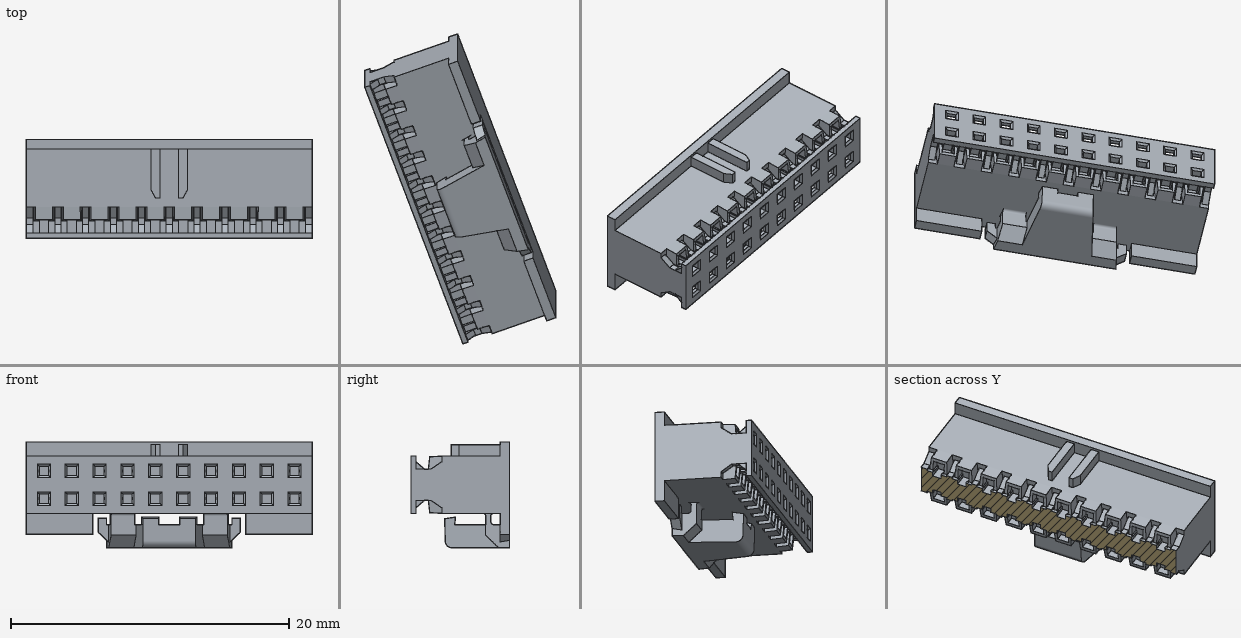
import cadquery as cq


length = 20.55
depth = 7.1
height = 7.6
body_height = 4.13
half_height = body_height / 2
half_length = length / 2

flange_thickness = 0.7
flange_front = depth - flange_thickness
flange_top = half_height + 1.0
tab_bottom = -half_height - 1.5
tab_inner_x = 5.48

plate_thickness = 0.4
relief_rear = 2.24
relief_floor = 1.13
relief_step = 1.66
relief_slope_front = 1.45
ramp_rear = 0.99
ramp_top = 1.65
end_ramp_inset = 0.02

contact_count = 10
row_span = 18.0
pitch = row_span / (contact_count - 1)
row_z = pitch / 2
contact_xs = [(i - (contact_count - 1) / 2) * pitch for i in range(contact_count)]

hole_mouth = 0.95
hole_size = 0.65
hole_lead_in = 0.15
recess_width = 0.88
recess_top = 1.75
recess_rear = 1.89

divider_width = 0.43
pocket_width = pitch - divider_width
pocket_floor_front = 1.05
pocket_floor_rear = 0.92
lug_top_rear = half_height
lug_top_front = 2.01
lug_front_top_y = 1.35
lug_front_base_y = 1.23
lug_top_width = 1.21
lug_base_width = 1.44
lug_base_z = 0.9

rib_top = half_height + 0.82
rib_inner_x = 0.68
rib_outer_x = 1.3
rib_front = 2.9
rib_chamfer_width = 0.3
rib_chamfer_length = 0.58

latch_bottom = flange_top - height
latch_top = latch_bottom + 1.66
arm_outer_x_rear = 4.5
arm_outer_x_front = 4.17
arm_inner_x = 2.46
arm_front = 5.38
arm_flare = (arm_outer_x_rear - arm_outer_x_front) / (depth - arm_front)
arm_slope_top = latch_bottom + 0.9
arm_slope_rear = 6.3
tongue_front = 2.42
tongue_front_x = 1.87
tongue_root_x = 2.38
tongue_flare = (tongue_root_x - tongue_front_x) / (arm_front - tongue_front)
tongue_rear_x = tongue_root_x + tongue_flare * (arm_slope_rear - arm_front)
tongue_draft = 0.06
tongue_edge_radius = 0.5
lip_inner_x = 0.74
lip_rear = 3.22
lip_undercut = 0.06
lip_top_rear = latch_bottom + 2.22
lip_top_front = latch_bottom + 2.1
post_rear = 5.75
post_top_fillet = 0.18
post_base_fillet = 0.25
ear_outer_x = 5.11
ear_inner_x = 4.5
ear_top = latch_bottom + 2.14
ear_side_bottom = latch_bottom + 1.13
ear_root_x = 4.31
ear_root_bottom = latch_bottom + 0.37


def prism_x(points, x_start, x_end):
    """Extrude a (Y, Z) outline from x_start to x_end."""
    return cq.Workplane("YZ", origin=(x_start, 0, 0)).polyline(points).close().extrude(x_end - x_start)


def prism_y(points, y_start, y_end):
    """Extrude an (X, Z) outline from y_start to y_end."""
    return cq.Workplane("XZ", origin=(0, y_start, 0)).polyline(points).close().extrude(y_start - y_end)


def prism_z(points, z_start, z_end):
    """Extrude an (X, Y) outline from z_start to z_end."""
    return cq.Workplane("XY", origin=(0, 0, z_start)).polyline(points).close().extrude(z_end - z_start)


def box(x_start, x_end, y_start, y_end, z_start, z_end):
    """Block between the given limits."""
    corners = [(x_start, y_start), (x_end, y_start), (x_end, y_end), (x_start, y_end)]
    return prism_z(corners, z_start, z_end)


def mirrored(shape, plane):
    """Return the shape joined with its mirror image."""
    return shape.union(shape.mirror(plane))


def make_body():
    """Full-length block with the mating plate and the relief behind it, above and below."""
    upper = [
        (0, half_height),
        (plate_thickness, half_height),
        (plate_thickness, ramp_top),
        (ramp_rear, relief_floor),
        (relief_slope_front, relief_floor),
        (relief_rear, relief_step),
        (relief_rear, half_height),
        (depth, half_height),
    ]
    lower = [(y, -z) for y, z in reversed(upper)]
    body = prism_x(upper + lower, -half_length, half_length)
    trim_start = half_length - end_ramp_inset
    end_trim = box(trim_start, half_length, plate_thickness, ramp_rear, relief_floor, half_height)
    return body.cut(mirrored(mirrored(end_trim, "YZ"), "XY"))


def make_flange():
    """Rear flange across the top and body, with a tab hanging at each end."""
    flange = box(-half_length, half_length, flange_front, depth, -half_height, flange_top)
    tab = box(tab_inner_x, half_length, flange_front, depth, tab_bottom, -half_height)
    return flange.union(mirrored(tab, "YZ"))


def make_pocket():
    """Clearance around one upper contact at X = 0."""
    profile = [
        (plate_thickness, half_height),
        (plate_thickness, pocket_floor_front),
        (relief_rear, pocket_floor_rear),
        (relief_rear, half_height),
    ]
    return prism_x(profile, -pocket_width / 2, pocket_width / 2)


def make_lug():
    """Tapered block standing in one upper pocket at X = 0."""
    side = [
        (relief_rear, lug_base_z),
        (lug_front_base_y, lug_base_z),
        (lug_front_top_y, lug_top_front),
        (relief_rear, lug_top_rear),
    ]
    front = [
        (-lug_base_width / 2, lug_base_z),
        (lug_base_width / 2, lug_base_z),
        (lug_top_width / 2, half_height),
        (-lug_top_width / 2, half_height),
    ]
    block = prism_x(side, -lug_base_width / 2, lug_base_width / 2)
    return block.intersect(prism_y(front, 0, relief_rear))


def make_pin_hole():
    """Square pin hole with a lead-in and a wider recess in the lug, for one upper contact at X = 0."""
    lead_in = (
        cq.Workplane("XZ", origin=(0, 0, row_z))
        .rect(hole_mouth, hole_mouth)
        .workplane(offset=-hole_lead_in)
        .rect(hole_size, hole_size)
        .loft(ruled=True)
    )
    half_hole = hole_size / 2
    half_recess = recess_width / 2
    shaft = box(-half_hole, half_hole, 0, recess_rear, row_z - half_hole, row_z + half_hole)
    recess = box(-half_recess, half_recess, lug_front_base_y, recess_rear, pocket_floor_rear, recess_top)
    return lead_in.union(shaft).union(recess)


def at_contacts(shape):
    """Repeat an upper contact feature along both rows."""
    row = cq.Workplane("XY")
    for x in contact_xs:
        row = row.add(shape.translate((x, 0, 0)))
    row = row.combine()
    return row.add(row.mirror("XY")).combine()


def make_ribs():
    """Pair of ribs running forward from the flange, chamfered at their outer front corners."""
    outline = [
        (rib_inner_x, flange_front),
        (rib_inner_x, rib_front),
        (rib_outer_x - rib_chamfer_width, rib_front),
        (rib_outer_x, rib_front + rib_chamfer_length),
        (rib_outer_x, flange_front),
    ]
    return mirrored(prism_z(outline, half_height, rib_top), "YZ")


def make_latch_arms():
    """Rear plate of the latch, sloped underneath at its front."""
    half_arms = [
        (0, depth),
        (arm_outer_x_rear, depth),
        (arm_outer_x_front, arm_front),
        (0, arm_front),
    ]
    arm_slope = [
        (arm_front, arm_slope_top),
        (arm_front, latch_bottom),
        (arm_slope_rear, latch_bottom),
    ]
    arms = mirrored(prism_z(half_arms, latch_bottom, latch_top), "YZ")
    return arms.cut(prism_x(arm_slope, -arm_outer_x_rear, arm_outer_x_rear))


def make_latch_tongue():
    """Tapered tongue with a rounded lower front edge and a hooked lip at each front corner."""
    half_plan = [
        (0, arm_slope_rear),
        (tongue_rear_x, arm_slope_rear),
        (tongue_front_x, tongue_front),
        (0, tongue_front),
    ]
    side = [
        (arm_slope_rear, latch_bottom),
        (tongue_front + tongue_draft, latch_bottom),
        (tongue_front, lip_top_front),
        (lip_rear, lip_top_rear),
        (lip_rear - lip_undercut, latch_top),
        (arm_slope_rear, latch_top),
    ]
    profile = prism_x(side, -tongue_rear_x, tongue_rear_x)
    lower_front_edge = cq.selectors.NearestToPointSelector((0, tongue_front + tongue_draft, latch_bottom))
    profile = profile.edges("|X").edges(lower_front_edge).fillet(tongue_edge_radius)
    tongue = profile.intersect(mirrored(prism_z(half_plan, latch_bottom, lip_top_rear), "YZ"))
    return tongue.cut(box(-lip_inner_x, lip_inner_x, tongue_front, lip_rear, latch_top, lip_top_rear))


def make_latch_posts():
    """Thin posts that hang the arms from the body, flared where they meet it."""
    profile = (
        cq.Workplane("YZ", origin=(arm_inner_x, 0, 0))
        .moveTo(arm_front, latch_top)
        .lineTo(arm_front, -half_height - post_top_fillet)
        .radiusArc((arm_front - post_top_fillet, -half_height), -post_top_fillet)
        .lineTo(post_rear + post_top_fillet, -half_height)
        .radiusArc((post_rear, -half_height - post_top_fillet), -post_top_fillet)
        .lineTo(post_rear, latch_top + post_base_fillet)
        .radiusArc((post_rear + post_base_fillet, latch_top), -post_base_fillet)
        .close()
    )
    post = profile.extrude(arm_outer_x_rear - arm_inner_x)
    half_plan = [
        (arm_inner_x, depth),
        (arm_outer_x_rear, depth),
        (arm_outer_x_front, arm_front),
        (arm_outer_x_front - arm_flare * post_top_fillet, arm_front - post_top_fillet),
        (arm_inner_x, arm_front - post_top_fillet),
    ]
    return mirrored(post.intersect(prism_z(half_plan, latch_top, -half_height)), "YZ")


def make_latch_ears():
    """Side ears that stand in the gaps between the arms and the flange tabs."""
    outline = [
        (ear_inner_x, ear_top),
        (ear_outer_x, ear_top),
        (ear_outer_x, ear_side_bottom),
        (ear_root_x, ear_root_bottom),
        (ear_root_x, latch_top),
        (ear_inner_x, latch_top),
    ]
    return mirrored(prism_y(outline, flange_front, depth), "YZ")


housing = make_body().cut(at_contacts(make_pocket()))
housing = housing.union(at_contacts(make_lug()))
housing = housing.cut(at_contacts(make_pin_hole()))
housing = housing.union(make_flange()).union(make_ribs())

latch = make_latch_arms().union(make_latch_tongue()).union(make_latch_posts()).union(make_latch_ears())

result = housing.union(latch)